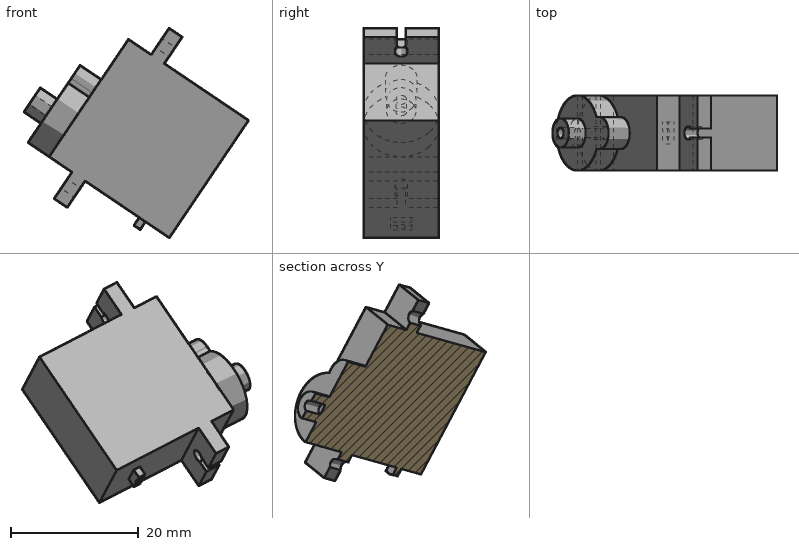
import cadquery as cq


CASE_LENGTH = 22.2
CASE_WIDTH = 11.8
CASE_HEIGHT = 22.7

TAB_REACH = 5.0
TAB_THICKNESS = 2.5
TAB_BOTTOM = 15.9
TAB_HOLE_DIAMETER = 2.0
TAB_HOLE_OFFSET = 2.3
TAB_SLOT_WIDTH = 1.35

HOUSING_HEIGHT = 4.0
GEAR_DIAMETER = CASE_WIDTH
GEAR_CENTER = GEAR_DIAMETER / 2
LOBE_DIAMETER = 5.0
LOBE_END = 14.6
LOBE_CENTER = LOBE_END - LOBE_DIAMETER / 2

SHAFT_DIAMETER = 4.6
SHAFT_HEIGHT = 3.2
SHAFT_HOLE_DIAMETER = 1.7

CABLE_REACH = 1.5
CABLE_WIDTH = 3.4
CABLE_THICKNESS = 1.2
CABLE_BOTTOM = 4.5

TILT_ANGLE = 56.0

HOUSING_TOP = CASE_HEIGHT + HOUSING_HEIGHT


def block(x_start, x_end, width, z_bottom, height):
    """Box centred on the mid plane of the servo."""
    box = cq.Workplane("XY").box(x_end - x_start, width, height, centered=(False, True, False))
    return box.translate((x_start, 0, z_bottom))


def cylinder(x_center, diameter, z_bottom, height):
    """Upright cylinder with its axis on the mid plane of the servo."""
    disc = cq.Workplane("XY").circle(diameter / 2).extrude(height)
    return disc.translate((x_center, 0, z_bottom))


def case_with_tabs():
    case = block(0, CASE_LENGTH, CASE_WIDTH, 0, CASE_HEIGHT)
    tabs = block(-TAB_REACH, CASE_LENGTH + TAB_REACH, CASE_WIDTH, TAB_BOTTOM, TAB_THICKNESS)
    return case.union(tabs)


def gear_housing():
    gear = cylinder(GEAR_CENTER, GEAR_DIAMETER, CASE_HEIGHT, HOUSING_HEIGHT)
    neck = block(GEAR_CENTER, LOBE_CENTER, LOBE_DIAMETER, CASE_HEIGHT, HOUSING_HEIGHT)
    lobe = cylinder(LOBE_CENTER, LOBE_DIAMETER, CASE_HEIGHT, HOUSING_HEIGHT)
    return gear.union(neck).union(lobe)


def output_shaft():
    return cylinder(GEAR_CENTER, SHAFT_DIAMETER, HOUSING_TOP, SHAFT_HEIGHT)


def shaft_hole():
    return cylinder(GEAR_CENTER, SHAFT_HOLE_DIAMETER, HOUSING_TOP, SHAFT_HEIGHT)


def cable_exit():
    return block(-CABLE_REACH, 0, CABLE_WIDTH, CABLE_BOTTOM, CABLE_THICKNESS)


def screw_cut(hole_x, tab_end_x):
    """Full-height screw hole, opened to the tab end by a narrow slot.

    On the cable side the hole also grazes the tip of the cable exit.
    """
    hole = cylinder(hole_x, TAB_HOLE_DIAMETER, 0, CASE_HEIGHT)
    slot_start = min(hole_x, tab_end_x)
    slot_end = max(hole_x, tab_end_x)
    slot = block(slot_start, slot_end, TAB_SLOT_WIDTH, TAB_BOTTOM, TAB_THICKNESS)
    return hole.union(slot)


servo = case_with_tabs().union(gear_housing()).union(output_shaft()).union(cable_exit())
servo = servo.cut(shaft_hole())
servo = servo.cut(screw_cut(-TAB_HOLE_OFFSET, -TAB_REACH))
servo = servo.cut(screw_cut(CASE_LENGTH + TAB_HOLE_OFFSET, CASE_LENGTH + TAB_REACH))

result = servo.rotate((0, 0, 0), (0, 1, 0), -TILT_ANGLE)